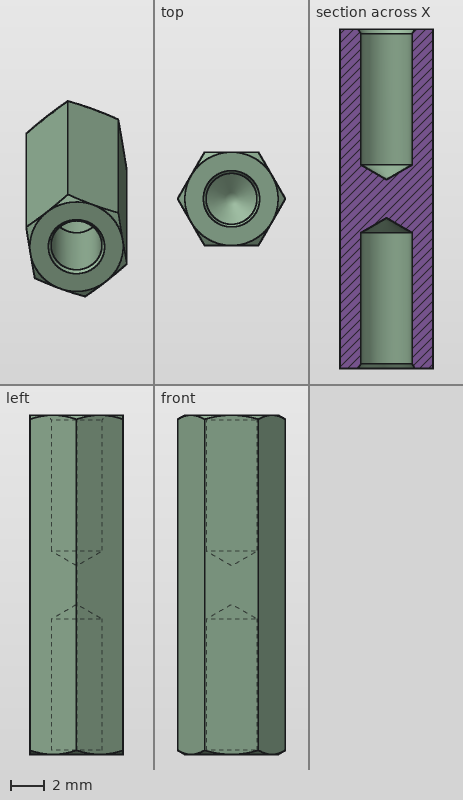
import cadquery as cq
import math

LENGTH = 20.0
ACROSS_CORNERS = 6.36

FACE_DIAMETER = 5.5
CORNER_CHAMFER_ANGLE = 30.0

HOLE_DIAMETER = 3.0
HOLE_DEPTH = 8.0
DRILL_POINT_ANGLE = 120.0
MOUTH_DIAMETER = 3.32
COUNTERSINK_ANGLE = 60.0


def cone_height(radius_change, included_angle):
    """Axial length of a cone whose radius changes by the given amount."""
    return radius_change / math.tan(math.radians(included_angle / 2))


def revolve_about_z(profile):
    """Solid of revolution of a closed (radius, z) profile about the Z axis."""
    return cq.Workplane("XZ").polyline(profile).close().revolve(360, (0, 0, 0), (0, 1, 0))


def turned_envelope():
    """Cylinder with coned ends that trims the hexagon corners."""
    face_radius = FACE_DIAMETER / 2
    outer_radius = ACROSS_CORNERS / 2
    chamfer_height = (outer_radius - face_radius) * math.tan(math.radians(CORNER_CHAMFER_ANGLE))
    return revolve_about_z([
        (0, 0),
        (face_radius, 0),
        (outer_radius, chamfer_height),
        (outer_radius, LENGTH - chamfer_height),
        (face_radius, LENGTH),
        (0, LENGTH),
    ])


def top_hole():
    """Countersunk, drilled blind hole that opens at the top face."""
    hole_radius = HOLE_DIAMETER / 2
    mouth_radius = MOUTH_DIAMETER / 2
    mouth_depth = cone_height(mouth_radius - hole_radius, COUNTERSINK_ANGLE)
    point_start_z = LENGTH - HOLE_DEPTH
    point_tip_z = point_start_z - cone_height(hole_radius, DRILL_POINT_ANGLE)
    return revolve_about_z([
        (0, LENGTH),
        (mouth_radius, LENGTH),
        (hole_radius, LENGTH - mouth_depth),
        (hole_radius, point_start_z),
        (0, point_tip_z),
    ])


hexagon = cq.Workplane("XY").polygon(6, ACROSS_CORNERS).extrude(LENGTH)
body = hexagon.intersect(turned_envelope())

upper_hole = top_hole()
lower_hole = upper_hole.mirror("XY", (0, 0, LENGTH / 2))

result = body.cut(upper_hole).cut(lower_hole)